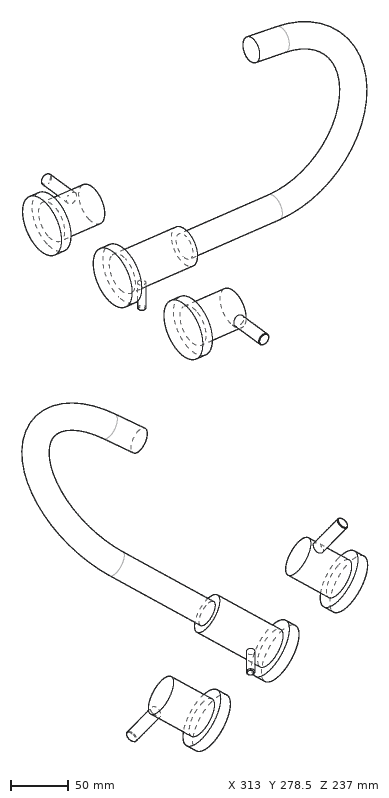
import cadquery as cq
import math

FLANGE_DIAMETER = 56.0
FLANGE_THICKNESS = 10.5
BARREL_DIAMETER = 37.5

HANDLE_SPACING = 101.5
HANDLE_HEIGHT = 55.0
HANDLE_LEVER_DIAMETER = 11.3
HANDLE_LEVER_Y = 47.0
HANDLE_LEVER_TIP = 156.5
HANDLE_LEVER_CHAMFER = 0.5

SPOUT_BARREL_HEIGHT = 79.5
TUBE_DIAMETER = 24.0
BEND_START_Y = 178.5
REACH = 278.5
BEND_RADIUS = REACH - BEND_START_Y - TUBE_DIAMETER / 2
BEND_ANGLE = 175.0
OUTLET_LENGTH = 33.0

SPOUT_LEVER_DIAMETER = 7.5
SPOUT_LEVER_Y = 32.3
SPOUT_LEVER_LENGTH = 46.5
SPOUT_LEVER_CHAMFER = 1.0


def rod(diameter, length, start, direction):
    """Solid cylinder that runs from start along direction."""
    return cq.Workplane(cq.Solid.makeCylinder(diameter / 2, length, cq.Vector(*start), cq.Vector(*direction)))


def flanged_barrel(height):
    """Wall flange with a barrel rising from it along +Y."""
    flange = rod(FLANGE_DIAMETER, FLANGE_THICKNESS, (0, 0, 0), (0, 1, 0))
    barrel = rod(BARREL_DIAMETER, height, (0, 0, 0), (0, 1, 0))
    return flange.union(barrel)


def make_handle(side):
    """Handle on one side of the spout: side is -1 for left and +1 for right."""
    lever_length = HANDLE_LEVER_TIP - HANDLE_SPACING
    lever = rod(HANDLE_LEVER_DIAMETER, lever_length, (0, HANDLE_LEVER_Y, 0), (side, 0, 0))
    tip = ">X" if side > 0 else "<X"
    lever = lever.faces(tip).chamfer(HANDLE_LEVER_CHAMFER)
    handle = flanged_barrel(HANDLE_HEIGHT).union(lever)
    return handle.translate((side * HANDLE_SPACING, 0, 0))


def bend_point(angle):
    """Point (y, z) on the centreline of the bend, at an angle in degrees from its start."""
    turn = math.radians(angle)
    return (
        BEND_START_Y + BEND_RADIUS * math.sin(turn),
        BEND_RADIUS * (1 - math.cos(turn)),
    )


def make_tube():
    """Gooseneck: a straight run, a bend and a straight outlet tangent to the bend."""
    bend_middle = bend_point(BEND_ANGLE / 2)
    bend_end = bend_point(BEND_ANGLE)
    outlet_direction = math.radians(BEND_ANGLE)
    outlet_end = (
        bend_end[0] + OUTLET_LENGTH * math.cos(outlet_direction),
        bend_end[1] + OUTLET_LENGTH * math.sin(outlet_direction),
    )
    centreline = (
        cq.Workplane("YZ")
        .moveTo(FLANGE_THICKNESS, 0)
        .lineTo(BEND_START_Y, 0)
        .threePointArc(bend_middle, bend_end)
        .lineTo(*outlet_end)
    )
    section = cq.Workplane("XZ", origin=(0, FLANGE_THICKNESS, 0)).circle(TUBE_DIAMETER / 2)
    return section.sweep(centreline)


def make_spout():
    """Flanged barrel with the gooseneck and the small lever."""
    lever = rod(SPOUT_LEVER_DIAMETER, SPOUT_LEVER_LENGTH, (0, SPOUT_LEVER_Y, 0), (0, 0, -1))
    lever = lever.faces("<Z").chamfer(SPOUT_LEVER_CHAMFER)
    return flanged_barrel(SPOUT_BARREL_HEIGHT).union(make_tube()).union(lever)


spout = make_spout()
handles = [make_handle(side) for side in (-1, 1)]

bodies = [spout, *handles]
result = cq.Compound.makeCompound([body.solids().val() for body in bodies])